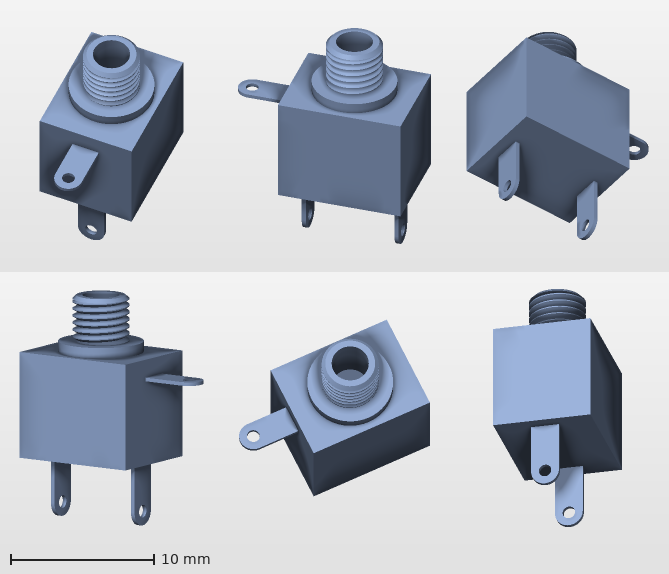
import cadquery as cq
import math

HOUSING_WIDTH = 7.0
HOUSING_DEPTH = 9.0
HOUSING_HEIGHT = 7.5

TAB_WIDTH = 2.0
TAB_HOLE_DIAMETER = 0.9
LOWER_TAB_LENGTH = 4.5
LOWER_TAB_THICKNESS = 0.3
LOWER_TAB_SPACING = 6.8
FRONT_TAB_LENGTH = 4.0
FRONT_TAB_THICKNESS = 0.25
FRONT_TAB_DROP = 1.4

FLANGE_DIAMETER = 6.0
FLANGE_HEIGHT = 0.75
BORE_DIAMETER = 2.6
THREAD_DIAMETER = 4.0
ROOT_DIAMETER = 3.26
THREAD_TURNS = 6
LEAD_IN = 0.25
LEAD_IN_ANGLE = 45.0
BUSHING_HEIGHT = 4.0
GROOVE_ANGLE = 60.0
GROOVE_PHASE = -0.13
GROOVE_OVERSHOOT = 0.03
TRIM_MARGIN = 0.2

thread_length = BUSHING_HEIGHT - FLANGE_HEIGHT - LEAD_IN
thread_pitch = thread_length / THREAD_TURNS


def make_tab(length, thickness):
    """Round-ended tab along -Y from the origin, centred on the XY plane."""
    end_radius = TAB_WIDTH / 2
    straight = length - end_radius
    blank = (
        cq.Workplane("XY")
        .moveTo(-end_radius, 0)
        .lineTo(-end_radius, -straight)
        .threePointArc((0, -length), (end_radius, -straight))
        .lineTo(end_radius, 0)
        .close()
        .extrude(thickness / 2, both=True)
    )
    hole = (
        cq.Workplane("XY")
        .center(0, -straight)
        .circle(TAB_HOLE_DIAMETER / 2)
        .extrude(thickness, both=True)
    )
    return blank.cut(hole)


def make_housing():
    """Block with one tab on its front face and two tabs below it."""
    housing = cq.Workplane("XY").box(
        HOUSING_WIDTH, HOUSING_DEPTH, HOUSING_HEIGHT, centered=(True, True, False)
    )
    front_tab = make_tab(FRONT_TAB_LENGTH, FRONT_TAB_THICKNESS)
    front_tab_height = HOUSING_HEIGHT - FRONT_TAB_DROP
    housing = housing.union(front_tab.translate((0, -HOUSING_DEPTH / 2, front_tab_height)))

    lower_tab = make_tab(LOWER_TAB_LENGTH, LOWER_TAB_THICKNESS).rotate((0, 0, 0), (1, 0, 0), 90)
    for side in (-1, 1):
        housing = housing.union(lower_tab.translate((0, side * LOWER_TAB_SPACING / 2, 0)))
    return housing


def make_thread_groove():
    """Right-handed V-groove cutter, ending flat at both ends of the thread."""
    root_radius = ROOT_DIAMETER / 2
    outer_radius = THREAD_DIAMETER / 2 + GROOVE_OVERSHOOT
    half_width = (outer_radius - root_radius) * math.tan(math.radians(GROOVE_ANGLE / 2))
    start = GROOVE_PHASE - thread_pitch
    path = cq.Wire.makeHelix(thread_pitch, (THREAD_TURNS + 2) * thread_pitch, root_radius)
    groove = (
        cq.Workplane("XZ")
        .moveTo(root_radius, 0)
        .lineTo(outer_radius, half_width)
        .lineTo(outer_radius, -half_width)
        .close()
        .sweep(cq.Workplane(path), isFrenet=True)
        .translate((0, 0, start))
    )
    trim = (
        cq.Workplane("XY")
        .circle(outer_radius + TRIM_MARGIN)
        .circle(root_radius - TRIM_MARGIN)
        .extrude(thread_length)
    )
    return groove.intersect(trim)


def make_bushing():
    """Flanged, externally threaded sleeve with its flange top on Z = 0."""
    flange = cq.Workplane("XY").circle(FLANGE_DIAMETER / 2).extrude(-FLANGE_HEIGHT)
    barrel = cq.Workplane("XY").circle(THREAD_DIAMETER / 2).extrude(thread_length)
    lead_in = (
        cq.Workplane("XY")
        .workplane(offset=thread_length)
        .circle(THREAD_DIAMETER / 2)
        .extrude(LEAD_IN, taper=LEAD_IN_ANGLE)
    )
    bore = (
        cq.Workplane("XY")
        .workplane(offset=-FLANGE_HEIGHT)
        .circle(BORE_DIAMETER / 2)
        .extrude(BUSHING_HEIGHT)
    )
    blank = flange.union(barrel).union(lead_in).cut(bore)
    return blank.cut(make_thread_groove())


housing = make_housing()
bushing = make_bushing().translate((0, 0, HOUSING_HEIGHT + FLANGE_HEIGHT))

result = cq.Compound.makeCompound([housing.val(), bushing.val()])